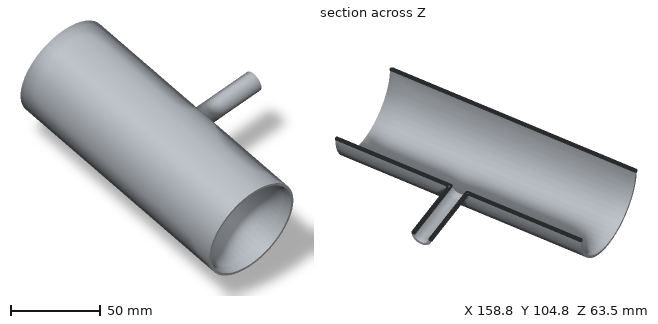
import cadquery as cq

run_length = 158.75
run_outer_diameter = 63.5
branch_outer_diameter = 12.7
wall = 1.65
branch_length = 41.28
junction_fillet = 1.5875

run_outer_radius = run_outer_diameter / 2
run_inner_diameter = run_outer_diameter - 2 * wall
branch_inner_diameter = branch_outer_diameter - 2 * wall
branch_reach = run_outer_radius + branch_length


def run_cylinder(diameter):
    """Cylinder along X, centred on the origin."""
    return cq.Workplane("YZ").circle(diameter / 2).extrude(run_length / 2, both=True)


def branch_cylinder(diameter):
    """Cylinder along +Y from the run axis to the branch end."""
    return cq.Workplane("XZ").circle(diameter / 2).extrude(-branch_reach)


def filleted_tee():
    """Solid tee with a fillet where the branch meets the run."""
    tee = run_cylinder(run_outer_diameter).union(branch_cylinder(branch_outer_diameter))
    junction = cq.selectors.BoxSelector(
        (-branch_outer_diameter, run_outer_radius - branch_outer_diameter, -branch_outer_diameter),
        (branch_outer_diameter, run_outer_radius + wall, branch_outer_diameter),
    )
    return tee.edges(junction).fillet(junction_fillet)


tee = filleted_tee().cut(run_cylinder(run_inner_diameter)).cut(branch_cylinder(branch_inner_diameter))
result = cq.Workplane(tee.solids().val())